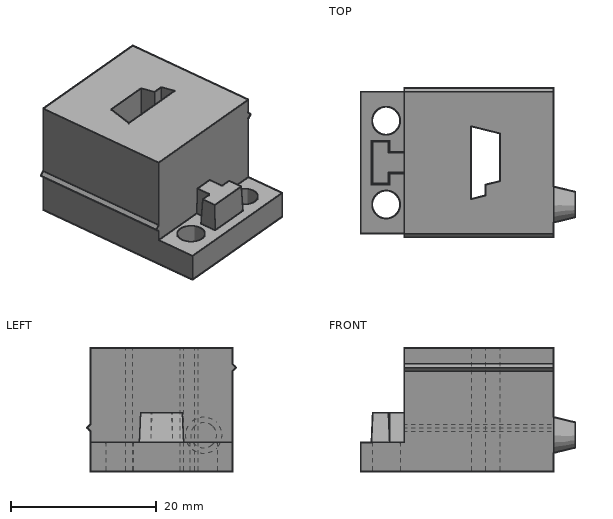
import cadquery as cq

total_length = 29.5
body_width = 19.5
body_height = 17.0
body_length = 20.5
flange_length = 6.0
flange_height = 4.0
body_end = flange_length + body_length

hole_diameter = 3.8
hole_x = 3.5
hole_y = 5.75

key_start_x = 1.48
key_head_length = 2.5
key_head_width = 6.08
key_neck_width = 3.0
key_height = 4.07
key_taper = 2.5
key_overlap = 1.0

ridge_depth = 0.5
front_ridge_z = 14.28
back_ridge_z = 6.02

pin_base_diameter = 5.0
pin_tip_diameter = 3.5
pin_y = -hole_y
pin_z = 5.02

slot_left = 15.15
slot_width = 3.95
slot_half_length = 5.0
slot_end_slope = 0.25
slot_notch_width = slot_width / 2
slot_notch_depth = 1.48


def make_body():
    """Flange and body as one L-shaped side profile."""
    return (
        cq.Workplane("XZ")
        .moveTo(0, 0)
        .lineTo(body_end, 0)
        .lineTo(body_end, body_height)
        .lineTo(flange_length, body_height)
        .lineTo(flange_length, flange_height)
        .lineTo(0, flange_height)
        .close()
        .extrude(body_width / 2, both=True)
    )


def make_key():
    """T-shaped key that narrows towards its top."""
    head_end = key_start_x + key_head_length
    neck_end = flange_length + key_overlap
    half_head = key_head_width / 2
    half_neck = key_neck_width / 2
    return (
        cq.Workplane("XY", origin=(0, 0, flange_height))
        .moveTo(key_start_x, -half_head)
        .lineTo(head_end, -half_head)
        .lineTo(head_end, -half_neck)
        .lineTo(neck_end, -half_neck)
        .lineTo(neck_end, half_neck)
        .lineTo(head_end, half_neck)
        .lineTo(head_end, half_head)
        .lineTo(key_start_x, half_head)
        .close()
        .extrude(key_height, taper=key_taper)
    )


def make_ridge(side, ridge_z):
    """Right-angled ridge on the side face at +Y (side = 1) or -Y (side = -1)."""
    face_y = side * body_width / 2
    return (
        cq.Workplane("YZ", origin=(flange_length, 0, 0))
        .moveTo(face_y, ridge_z - ridge_depth)
        .lineTo(face_y + side * ridge_depth, ridge_z)
        .lineTo(face_y, ridge_z + ridge_depth)
        .close()
        .extrude(body_length)
    )


def make_pin():
    """Truncated cone pointing along +X."""
    return (
        cq.Workplane("YZ", origin=(body_end, pin_y, pin_z))
        .circle(pin_base_diameter / 2)
        .workplane(offset=total_length - body_end)
        .circle(pin_tip_diameter / 2)
        .loft(ruled=True)
    )


def make_slot():
    """Cutter for the notched slot."""
    notch_x = slot_left + slot_notch_width
    slot_right = slot_left + slot_width

    def slanted_end(x):
        return slot_half_length - slot_end_slope * (x - slot_left)

    return (
        cq.Workplane("XY")
        .moveTo(slot_left, -slot_half_length)
        .lineTo(notch_x, -slanted_end(notch_x))
        .lineTo(notch_x, slot_notch_depth - slanted_end(notch_x))
        .lineTo(slot_right, slot_notch_depth - slanted_end(slot_right))
        .lineTo(slot_right, slanted_end(slot_right))
        .lineTo(slot_left, slot_half_length)
        .close()
        .extrude(body_height)
    )


def make_holes():
    """Cutters for the two mounting holes."""
    return (
        cq.Workplane("XY")
        .pushPoints([(hole_x, -hole_y), (hole_x, hole_y)])
        .circle(hole_diameter / 2)
        .extrude(flange_height)
    )


result = (
    make_body()
    .cut(make_holes())
    .union(make_key())
    .union(make_ridge(-1, front_ridge_z))
    .union(make_ridge(1, back_ridge_z))
    .union(make_pin())
    .cut(make_slot())
)